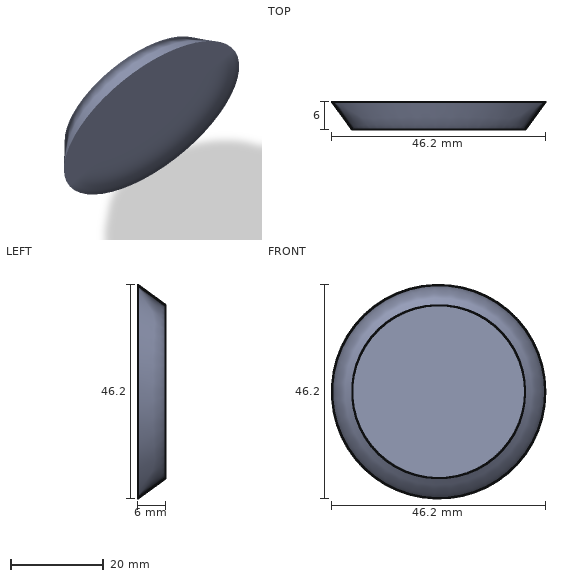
import cadquery as cq

rim_diameter = 46.25
face_diameter = 37.45
thickness = 6.0

rim_radius = rim_diameter / 2
face_radius = face_diameter / 2

half_section = (
    cq.Workplane("XY")
    .moveTo(0, -thickness / 2)
    .lineTo(face_radius, -thickness / 2)
    .lineTo(rim_radius, thickness / 2)
    .lineTo(0, thickness / 2)
    .close()
)

result = half_section.revolve(360, (0, 0, 0), (0, 1, 0))